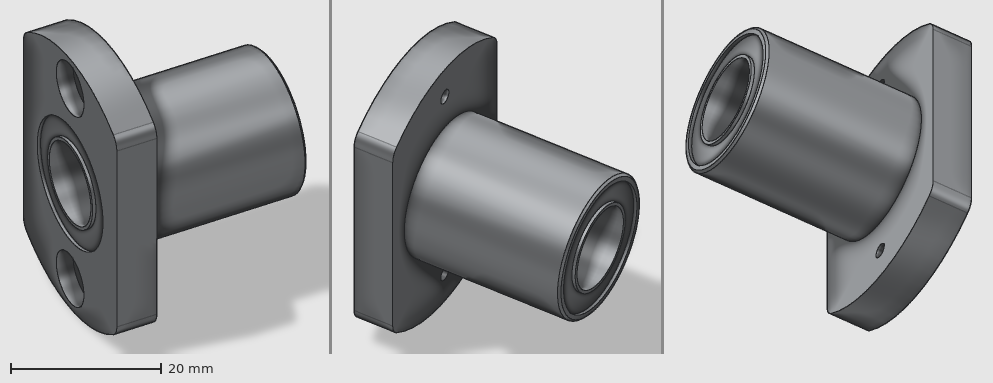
import cadquery as cq

flange_width = 27.0
flange_diameter = 41.85
flange_thickness = 6.0
flange_corner_radius = 2.5

overall_length = 30.0
barrel_diameter = 21.0
barrel_end_chamfer = 0.35

mount_hole_offset = 16.0
mount_hole_diameter = 2.1
mount_counterbore_diameter = 8.0
mount_counterbore_depth = 2.5

retainer_diameter = 19.0
retainer_setback = 0.5

liner_diameter = 13.0
liner_bore_diameter = 12.0


def cylinder(diameter, start_y, length, center_z=0.0):
    """Cylinder running from start_y toward +Y, centred on X = 0."""
    start = cq.Vector(0, start_y, center_z)
    return cq.Workplane(cq.Solid.makeCylinder(diameter / 2, length, start, cq.Vector(0, 1, 0)))


def make_flange():
    """Round disc cut to two flat sides, with rounded corners."""
    disc = cylinder(flange_diameter, 0, flange_thickness)
    side_limits = cq.Workplane().box(
        flange_width, flange_thickness, flange_diameter
    ).translate((0, flange_thickness / 2, 0))
    return disc.intersect(side_limits).edges("|Y and (>X or <X)").fillet(flange_corner_radius)


def make_barrel():
    barrel = cylinder(barrel_diameter, 0, overall_length)
    return barrel.faces(">Y").chamfer(barrel_end_chamfer)


def make_housing():
    housing = make_flange().union(make_barrel())
    housing = housing.cut(cylinder(retainer_diameter, 0, overall_length))
    for hole_z in (-mount_hole_offset, mount_hole_offset):
        housing = housing.cut(cylinder(mount_hole_diameter, 0, flange_thickness, hole_z))
        counterbore = cylinder(mount_counterbore_diameter, 0, mount_counterbore_depth, hole_z)
        housing = housing.cut(counterbore)
    return housing


def make_tube(outer_diameter, inner_diameter, setback=0):
    """Tube whose two ends lie at the same setback inside the ends of the barrel."""
    length = overall_length - 2 * setback
    return cylinder(outer_diameter, setback, length).cut(cylinder(inner_diameter, setback, length))


housing = make_housing()
retainer = make_tube(retainer_diameter, liner_diameter, retainer_setback)
liner = make_tube(liner_diameter, liner_bore_diameter)

result = cq.Compound.makeCompound([housing.val(), retainer.val(), liner.val()])